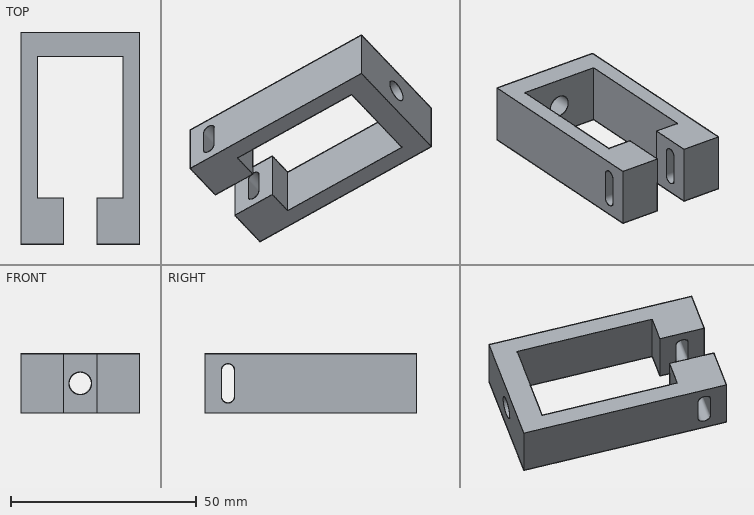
import cadquery as cq

width = 32.0
length = 57.0
height = 16.0

side_wall = 4.5
back_wall = 6.55
jaw_length = 12.5
jaw_gap = 8.9

hole_diameter = 6.0
slot_width = 3.5
slot_height = 10.5

window_width = width - 2 * side_wall
window_length = length - back_wall - jaw_length
front_y = -length / 2
back_y = length / 2
jaw_center_y = front_y + jaw_length / 2


def centered_box(size_x, size_y, center_y):
    """Full-height box centered on X and Z."""
    return cq.Workplane("XY").box(size_x, size_y, height).translate((0, center_y, 0))


frame = centered_box(width, length, 0)
window = centered_box(window_width, window_length, front_y + jaw_length + window_length / 2)
gap = centered_box(jaw_gap, jaw_length, jaw_center_y)

back_hole = (
    cq.Workplane("XZ", origin=(0, back_y, 0))
    .circle(hole_diameter / 2)
    .extrude(back_wall)
)

jaw_slot = (
    cq.Workplane("YZ", origin=(0, jaw_center_y, 0))
    .slot2D(slot_height, slot_width, 90)
    .extrude(width / 2, both=True)
)

result = frame.cut(window).cut(gap).cut(back_hole).cut(jaw_slot)